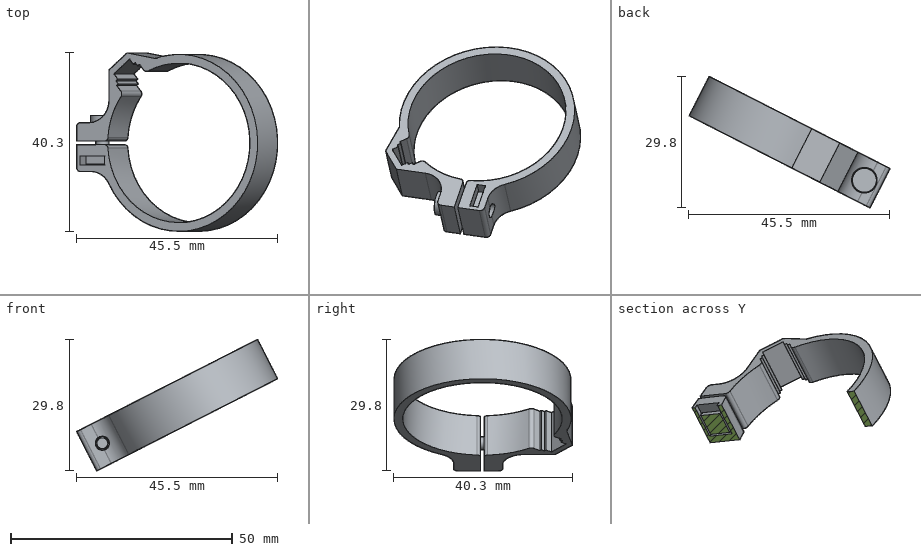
import cadquery as cq
import math

band_width = 10.0
outer_radius = 20.0
inner_radius = 18.0
tilt_angle = 27.0

ear_end_x = -25.95
gap = 0.8
upper_ear_y = 4.6
lower_ear_y = -6.5
blend_radius = 5.0
ear_corner_radius = 1.0
gap_edge_radius = 0.8

pocket_angle = 130.0
housing_face = 24.02
housing_side = 17.75
pocket_floor = 22.5
pocket_steps = [(2.6, pocket_floor), (3.2, 20.98), (3.75, 20.05)]
pocket_mouth = 13.65
pocket_lip_radius = 1.0

screw_x = -21.95
shank_diameter = 3.0
screw_hole_diameter = 3.2
head_diameter = 5.4
head_height = 3.0
head_seat_diameter = 5.8
head_seat_y = 3.2
screw_tip_y = -5.8
tip_chamfer = 0.27

slot_length = 6.15
slot_upper_y = -3.0
slot_thickness = 1.95
nut_side = 5.5
nut_thickness = 1.8


def plate(sketch):
    """Extrude an XY outline over the band width, centred on Z = 0."""
    return sketch.extrude(band_width / 2, both=True)


def cylinder_y(diameter, start_y, end_y):
    """Cylinder on the screw axis between two Y positions."""
    disc = cq.Workplane("XZ", origin=(screw_x, start_y, 0)).circle(diameter / 2)
    return disc.extrude(start_y - end_y)


def block(x_size, upper_y, thickness, bottom_z, top_z):
    """Box centred on the screw in X, hanging from upper_y towards -Y."""
    box = cq.Workplane("XY").box(x_size, thickness, top_z - bottom_z)
    return box.translate((screw_x, upper_y - thickness / 2, (bottom_z + top_z) / 2))


def fillet_vertical_edge(body, x, y, radius):
    return body.edges("|Z").edges(cq.selectors.NearestToPointSelector((x, y, 0))).fillet(radius)


def make_housing():
    """Convex block whose side walls and flat face surround the pocket."""
    half_angle = math.radians(180 - pocket_angle)
    face_half = (housing_side - housing_face * math.cos(half_angle)) / math.sin(half_angle)
    wall_angle = math.acos(housing_side / outer_radius)
    foot_angle = half_angle - wall_angle
    foot_radial = outer_radius * math.cos(foot_angle)
    foot_half = outer_radius * math.sin(foot_angle)
    outline = (
        cq.Workplane("XY")
        .moveTo(0, 0)
        .lineTo(foot_radial, foot_half)
        .lineTo(housing_face, face_half)
        .lineTo(housing_face, -face_half)
        .lineTo(foot_radial, -foot_half)
        .close()
    )
    return plate(outline).rotate((0, 0, 0), (0, 0, 1), pocket_angle)


def make_ears():
    """Ear block with concave blends to the housing wall and to the band."""
    upper_blend_x = -housing_side - blend_radius
    lower_centre_y = lower_ear_y - blend_radius
    centre_distance = outer_radius + blend_radius
    lower_centre_x = -math.sqrt(centre_distance**2 - lower_centre_y**2)
    touch_scale = outer_radius / centre_distance
    touch_x = lower_centre_x * touch_scale
    touch_y = lower_centre_y * touch_scale
    middle_angle = (math.pi / 2 + math.atan2(-lower_centre_y, -lower_centre_x)) / 2
    lower_middle = (
        lower_centre_x + blend_radius * math.cos(middle_angle),
        lower_centre_y + blend_radius * math.sin(middle_angle),
    )
    upper_middle = (
        upper_blend_x + blend_radius * math.sin(math.pi / 4),
        upper_ear_y + blend_radius * (1 - math.cos(math.pi / 4)),
    )
    outline = (
        cq.Workplane("XY")
        .moveTo(ear_end_x, lower_ear_y)
        .lineTo(lower_centre_x, lower_ear_y)
        .threePointArc(lower_middle, (touch_x, touch_y))
        .lineTo(0, 0)
        .lineTo(-housing_side, upper_ear_y + blend_radius)
        .threePointArc(upper_middle, (upper_blend_x, upper_ear_y))
        .lineTo(ear_end_x, upper_ear_y)
        .close()
    )
    ears = plate(outline)
    for corner_y in (upper_ear_y, lower_ear_y):
        ears = fillet_vertical_edge(ears, ear_end_x, corner_y, ear_corner_radius)
    return ears


def make_pocket():
    """Stepped pocket, widest at the bore."""
    pocket = cq.Workplane("XY")
    for half_width, floor in pocket_steps:
        step = cq.Workplane("XY").center((pocket_mouth + floor) / 2, 0)
        pocket = pocket.union(plate(step.rect(floor - pocket_mouth, 2 * half_width)))
    return pocket.rotate((0, 0, 0), (0, 0, 1), pocket_angle)


def make_clamp():
    clamp = plate(cq.Workplane("XY").circle(outer_radius))
    clamp = clamp.union(make_housing()).union(make_ears())
    clamp = clamp.cut(plate(cq.Workplane("XY").circle(inner_radius)))
    clamp = clamp.cut(make_pocket())
    clamp = clamp.cut(plate(cq.Workplane("XY").center(ear_end_x / 2, 0).rect(-ear_end_x, gap)))

    mouth_half_width = pocket_steps[-1][0]
    lip_offset = math.degrees(math.asin(mouth_half_width / inner_radius))
    for side in (-1, 1):
        lip_angle = math.radians(pocket_angle + side * lip_offset)
        lip_x = inner_radius * math.cos(lip_angle)
        lip_y = inner_radius * math.sin(lip_angle)
        clamp = fillet_vertical_edge(clamp, lip_x, lip_y, pocket_lip_radius)
        clamp = fillet_vertical_edge(clamp, -inner_radius, side * gap / 2, gap_edge_radius)

    trim = cq.Workplane("XY").center(-housing_side - blend_radius, upper_ear_y + blend_radius)
    clamp = clamp.cut(plate(trim.circle(blend_radius)))

    clamp = clamp.cut(cylinder_y(screw_hole_diameter, head_seat_y, lower_ear_y - blend_radius))
    clamp = clamp.cut(cylinder_y(head_seat_diameter, upper_ear_y + blend_radius, head_seat_y))
    return clamp.cut(block(slot_length, slot_upper_y, slot_thickness, -slot_length / 2, band_width / 2))


def make_screw():
    shank = cylinder_y(shank_diameter, head_seat_y, screw_tip_y).faces("<Y").chamfer(tip_chamfer)
    return shank.union(cylinder_y(head_diameter, head_seat_y + head_height, head_seat_y))


nut = block(nut_side, slot_upper_y, nut_thickness, -nut_side / 2, nut_side / 2)
assembled = make_clamp().union(make_screw()).union(nut)

result = assembled.rotate((0, 0, 0), (0, 1, 0), -tilt_angle)